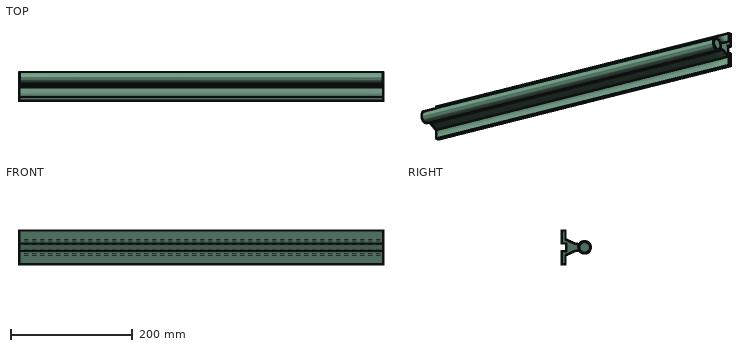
import cadquery as cq
import math

LENGTH = 600.0
DEPTH = 48.0
FLANGE_HEIGHT = 56.0

SHAFT_DIAMETER = 20.5
SHAFT_RADIUS = SHAFT_DIAMETER / 2
END_CHAMFER = 1.0
SHAFT_Y = DEPTH - SHAFT_RADIUS

FLANGE_THICKNESS = 6.5
SLOT_HEIGHT = 12.5
SLOT_DEPTH = 7.0
WEB_ROOT_HEIGHT = 26.5
NECK_HEIGHT = 12.0
NECK_START_Y = 22.0
NECK_END_Y = 25.0
SADDLE_HEIGHT = 9.0

SADDLE_EDGE_Y = SHAFT_Y - math.sqrt(SHAFT_RADIUS**2 - (SADDLE_HEIGHT / 2) ** 2)
SADDLE_BOTTOM_Y = SHAFT_Y - SHAFT_RADIUS


def make_support():
    """Slotted flange with a tapered web, a short neck and a round saddle for the shaft."""
    half_flange = FLANGE_HEIGHT / 2
    half_slot = SLOT_HEIGHT / 2
    half_root = WEB_ROOT_HEIGHT / 2
    half_neck = NECK_HEIGHT / 2
    half_saddle = SADDLE_HEIGHT / 2
    return (
        cq.Workplane("YZ")
        .moveTo(0, half_slot)
        .lineTo(0, half_flange)
        .lineTo(FLANGE_THICKNESS, half_flange)
        .lineTo(FLANGE_THICKNESS, half_root)
        .lineTo(NECK_START_Y, half_neck)
        .lineTo(NECK_END_Y, half_neck)
        .lineTo(SADDLE_EDGE_Y, half_saddle)
        .threePointArc((SADDLE_BOTTOM_Y, 0), (SADDLE_EDGE_Y, -half_saddle))
        .lineTo(NECK_END_Y, -half_neck)
        .lineTo(NECK_START_Y, -half_neck)
        .lineTo(FLANGE_THICKNESS, -half_root)
        .lineTo(FLANGE_THICKNESS, -half_flange)
        .lineTo(0, -half_flange)
        .lineTo(0, -half_slot)
        .lineTo(SLOT_DEPTH, -half_slot)
        .lineTo(SLOT_DEPTH, half_slot)
        .close()
        .extrude(LENGTH)
    )


def make_shaft():
    """Round shaft with chamfered ends, resting in the saddle."""
    bar = cq.Workplane("YZ").center(SHAFT_Y, 0).circle(SHAFT_RADIUS).extrude(LENGTH)
    return bar.faces("<X or >X").chamfer(END_CHAMFER)


support = make_support()
shaft = make_shaft()

result = cq.Compound.makeCompound([support.val(), shaft.val()])